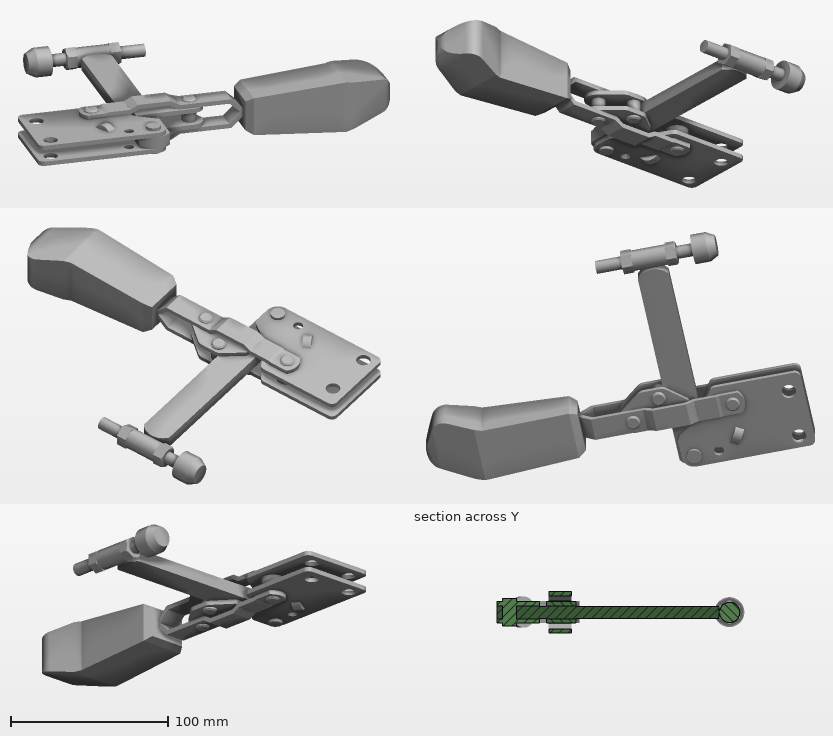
import cadquery as cq
import math


arm_thickness = 8.0
sheet = 3.0
inner_face = arm_thickness / 2
outer_face = inner_face + sheet
lever_face = outer_face + sheet

lever_pivot = (0, 0)
arm_pivot = (32.2, 31.7)
link_lever_rivet = (0, 64.7)
link_arm_rivet = (-12.0, 45.7)
rivet_radius = 4.6
rivet_chamfer = 1.0
lever_head_height = 1.5
plate_head_height = 2.0
lever_spacer_radius = 7.3

base_left = -12.5
base_bottom = -46.0
base_corner = 4.0
base_top_corner = 8.0
base_right = arm_pivot[0] + base_top_corner
base_top = arm_pivot[1] + base_top_corner
shoulder_y = 11.7
relief_bottom = (8.3, 24.7)
relief_top_x = 18.8
relief_radius = 5.0
mount_hole_y = -36.5
mount_hole_radius = 4.6
small_hole_y = 15.6
small_hole_radius = 3.2

lug_center = (24.2, 2.2)
lug_length = 11.7
lug_width = 5.5
lug_height = 3.0
lug_angle = 30

link_end_radius = 9.0
link_left = -18.3
link_side_top = 56.5
link_side_bottom = 41.3
link_bottom_left = -6.5
link_bottom = 26.9
link_corner = 6.3
link_bottom_corner = 2.5

spindle_x = -107.7
rod_radius = 4.2
rod_top = 66.5
sleeve_radius = 6.5
sleeve_length = 22.0
nut_thickness = 6.8
nut_chamfer = 1.0
tip_radius = 9.5
tip_end_radius = 6.5
tip_top = 3.5
tip_shoulder = -6.3
tip_bottom = -11.7

arm_half_width = 10.0
arm_left = spindle_x + sleeve_radius
arm_right = base_right
arm_end_bulge = 5.1

grip_bottom = 98.2
grip_top = base_bottom + 244.2
grip_chamfer_y = 103.0
grip_bottom_span = (-12.7, 13.5)
grip_chamfer_span = (-15.6, 16.4)
grip_wide_y = 164.0
grip_half_depth = 17.0
grip_chamfer_half_depth = 12.7
grip_bottom_half_depth = 10.0
grip_nose_half_depth = 9.8
grip_nose_radius = 10.3
grip_nose_edge_radius = 9.8
grip_heel = (-27.5, 187.5)
grip_heel_radius = 8.3
grip_peak = (1.7, 202.0)
grip_back_bend = (17.8, 166.8)
grip_back_radius = 26.0
grip_front_bend = (-16.8, 159.2)
parting_bends = [(-13.5, 153.0), (-5.0, 175.3), (0.2, 175.3), (8.3, 160.2), (-3.0, 120.1), (4.2, 107.5)]
parting_radius = 3.7
region_reach = 48.8

strap_width = 14.7
jog_start = 7.5
jog_end = 9.5
bulge_rise_start = 23.7
bulge_rise_end = 28.8
bulge_fall_start = 50.8
bulge_fall_end = 56.7
strap_spread_y = 90.5
tang_length = 7.3
bulge_height = 3.5
jog_height = 0.6
strap_side_end = -4.6
strap_tip = -7.8


def mirrored_pair(solid):
    """Join a feature above the middle plane with its mirror image below."""
    return solid.union(solid.mirror("XY"))


def slab(outline, bottom, top):
    """Extrude a closed XY outline between two heights."""
    return outline.extrude(top - bottom).translate((0, 0, bottom))


def round_edge(solid, point, radius):
    """Round the Z-parallel edge nearest a corner point."""
    middle = (*point, solid.val().Center().z)
    return solid.edges(cq.selectors.NearestToPointSelector(middle)).fillet(radius)


def cylinder(point, radius, half_length):
    """Cylinder along Z, centred on the middle plane."""
    start = cq.Workplane("XY", origin=(*point, -half_length))
    return start.circle(radius).extrude(2 * half_length)


def rivet(point, face, head_height):
    """Pin whose chamfered heads stand proud of the faces at +face and -face."""
    pin = cylinder(point, rivet_radius, face + head_height)
    return pin.faces("|Z").chamfer(rivet_chamfer)


def make_lug():
    lug_radius = ((lug_length / 2) ** 2 + lug_height**2) / (2 * lug_height)
    barrel = (
        cq.Workplane("XZ")
        .center(0, outer_face + lug_height - lug_radius)
        .circle(lug_radius)
        .extrude(lug_width / 2, both=True)
    )
    above_plate = cq.Workplane("XY", origin=(0, 0, outer_face)).rect(2 * lug_length, lug_width)
    lug = barrel.intersect(above_plate.extrude(lug_height))
    return lug.rotate((0, 0, 0), (0, 0, 1), lug_angle).translate((*lug_center, 0))


def make_base_plate():
    shoulder = (base_left, shoulder_y)
    relief_top = (relief_top_x, base_top)
    top_corner = (base_right, base_top)
    right_foot = (base_right, base_bottom)
    left_foot = (base_left, base_bottom)
    outline = cq.Workplane("XY").polyline(
        [left_foot, right_foot, top_corner, relief_top, relief_bottom, shoulder]
    ).close()
    plate = slab(outline, inner_face, outer_face)
    for corner in (left_foot, right_foot, shoulder):
        plate = round_edge(plate, corner, base_corner)
    plate = round_edge(plate, top_corner, base_top_corner)
    plate = round_edge(plate, relief_top, relief_radius)
    for hole_x in (lever_pivot[0], arm_pivot[0]):
        plate = plate.cut(cylinder((hole_x, mount_hole_y), mount_hole_radius, lever_face))
    return plate.cut(cylinder((arm_pivot[0], small_hole_y), small_hole_radius, lever_face))


def make_base():
    plates = mirrored_pair(make_base_plate().union(make_lug()))
    arm_pin = cylinder(arm_pivot, rivet_radius, outer_face + plate_head_height)
    lever_pin = rivet(lever_pivot, lever_face, lever_head_height)
    lever_spacer = cylinder(lever_pivot, lever_spacer_radius, inner_face)
    return plates.union(arm_pin).union(lever_spacer).union(lever_pin)


def make_link():
    end_x, end_y = link_lever_rivet
    corner = (link_left, link_side_top)
    corner_distance = math.dist(corner, link_lever_rivet)
    center_angle = math.atan2(corner[1] - end_y, corner[0] - end_x)
    tangent_angle = center_angle - math.acos(link_end_radius / corner_distance)
    tangent = (
        end_x + link_end_radius * math.cos(tangent_angle),
        end_y + link_end_radius * math.sin(tangent_angle),
    )
    lower_corner = (link_left, link_side_bottom)
    bottom_corner = (link_bottom_left, link_bottom)
    outline = (
        cq.Workplane("XY")
        .moveTo(*tangent)
        .threePointArc((end_x, end_y + link_end_radius), (end_x + link_end_radius, end_y))
        .lineTo(end_x + link_end_radius, link_bottom)
        .lineTo(*bottom_corner)
        .lineTo(*lower_corner)
        .lineTo(*corner)
        .close()
    )
    plate = slab(outline, inner_face, outer_face)
    plate = round_edge(plate, corner, link_corner)
    plate = round_edge(plate, lower_corner, link_corner)
    plate = round_edge(plate, bottom_corner, link_bottom_corner)
    lever_rivet = rivet(link_lever_rivet, lever_face, lever_head_height)
    arm_rivet = rivet(link_arm_rivet, outer_face, plate_head_height)
    return mirrored_pair(plate).union(lever_rivet).union(arm_rivet)


def make_arm():
    middle_y = arm_pivot[1]
    low = middle_y - arm_half_width
    high = middle_y + arm_half_width
    outline = (
        cq.Workplane("XY")
        .moveTo(arm_left + arm_end_bulge, low)
        .lineTo(arm_right - arm_end_bulge, low)
        .threePointArc((arm_right, middle_y), (arm_right - arm_end_bulge, high))
        .lineTo(arm_left + arm_end_bulge, high)
        .threePointArc((arm_left, middle_y), (arm_left + arm_end_bulge, low))
        .close()
    )
    arm = slab(outline, -inner_face, inner_face)
    arm = arm.cut(cylinder(arm_pivot, rivet_radius, inner_face))
    return arm.cut(cylinder(link_arm_rivet, rivet_radius, inner_face))


def make_nut(top, chamfer_bottom):
    """Hexagonal nut below the height `top` on Y, with corners toward +Z and -Z."""
    corner_radius = sleeve_radius / math.cos(math.radians(30))
    plane = cq.Workplane("XZ", origin=(spindle_x, top, 0))
    hexagon = plane.transformed(rotate=(0, 0, 90)).polygon(6, 2 * corner_radius).extrude(nut_thickness)
    if not chamfer_bottom:
        return hexagon
    envelope = plane.circle(corner_radius).extrude(nut_thickness)
    envelope = envelope.faces("<Y").chamfer(nut_chamfer, corner_radius - sleeve_radius)
    return hexagon.intersect(envelope)


def make_spindle():
    sleeve_top = arm_pivot[1] + sleeve_length / 2
    sleeve_bottom = sleeve_top - sleeve_length
    profile = cq.Workplane("YZ", origin=(spindle_x, 0, 0)).polyline([
        (rod_top, 0),
        (rod_top, rod_radius),
        (sleeve_top, rod_radius),
        (sleeve_top, sleeve_radius),
        (sleeve_bottom, sleeve_radius),
        (sleeve_bottom, rod_radius),
        (tip_top, rod_radius),
        (tip_top, tip_radius),
        (tip_shoulder, tip_radius),
        (tip_bottom, tip_end_radius),
        (tip_bottom, 0),
    ]).close()
    spindle = profile.revolve(360, (0, 0), (1, 0))
    upper_nut = make_nut(sleeve_top + nut_thickness, chamfer_bottom=False)
    lower_nut = make_nut(sleeve_bottom, chamfer_bottom=True)
    return spindle.union(upper_nut).union(lower_nut)


def offset_path(points, distance):
    """Shift an open path to the right of its direction, with mitred bends."""
    angles = [math.atan2(b[1] - a[1], b[0] - a[0]) for a, b in zip(points, points[1:])]
    shifted = []
    for point, before, after in zip(points, angles[:1] + angles, angles + angles[-1:]):
        miter = (before + after) / 2
        reach = distance / math.cos((after - before) / 2)
        shifted.append((point[0] + reach * math.sin(miter), point[1] - reach * math.cos(miter)))
    return shifted


def make_strap():
    outside = [
        (strap_tip, lever_face),
        (jog_start, lever_face),
        (jog_end, lever_face + jog_height),
        (bulge_rise_start, lever_face + jog_height),
        (bulge_rise_end, lever_face + bulge_height),
        (bulge_fall_start, lever_face + bulge_height),
        (bulge_fall_end, lever_face),
        (strap_spread_y, lever_face),
        (grip_bottom, sheet),
        (grip_bottom + tang_length, sheet),
    ]
    inside = offset_path(outside, sheet)
    leg = cq.Workplane("YZ").polyline(outside + inside[::-1]).close()
    legs = mirrored_pair(leg.extrude(strap_width / 2, both=True))
    half_width = strap_width / 2
    rounded_outline = (
        cq.Workplane("XY")
        .moveTo(-half_width, strap_side_end)
        .threePointArc((0, strap_tip), (half_width, strap_side_end))
        .lineTo(half_width, grip_top)
        .lineTo(-half_width, grip_top)
        .close()
    )
    strap = legs.intersect(rounded_outline.extrude(grip_half_depth, both=True))
    for pivot in (lever_pivot, link_lever_rivet):
        strap = strap.cut(cylinder(pivot, rivet_radius, grip_half_depth))
    return strap


def make_grip():
    outline = cq.Workplane("XY").polyline([
        (grip_bottom_span[0], grip_bottom),
        (grip_bottom_span[1], grip_bottom),
        (grip_chamfer_span[1], grip_chamfer_y),
        grip_back_bend,
        grip_peak,
        grip_heel,
        grip_front_bend,
        (grip_chamfer_span[0], grip_chamfer_y),
    ]).close()
    body = slab(outline, -grip_half_depth, grip_half_depth)
    body = round_edge(body, grip_back_bend, grip_back_radius)
    body = round_edge(body, grip_peak, grip_nose_radius)
    body = round_edge(body, grip_heel, grip_heel_radius)

    half_depths = [
        (grip_bottom, grip_bottom_half_depth),
        (grip_chamfer_y, grip_chamfer_half_depth),
        (grip_wide_y, grip_half_depth),
        (grip_top, grip_nose_half_depth),
    ]
    lower_side = [(y, -z) for y, z in reversed(half_depths)]
    side_outline = cq.Workplane("YZ").polyline(half_depths + lower_side).close()
    side_form = side_outline.extrude(2 * grip_top, both=True)
    side_form = side_form.faces(">Y").edges("|X").fillet(grip_nose_edge_radius)
    tang_socket = cq.Workplane("XY").box(strap_width, 2 * tang_length, 2 * sheet)
    return body.intersect(side_form).cut(tang_socket.translate((0, grip_bottom, 0)))


def make_back_side():
    """Region behind the S-shaped parting surface, through the grip's whole depth."""
    path = [(-region_reach, parting_bends[0][1])] + parting_bends + [(region_reach, parting_bends[-1][1])]
    far_corners = [(region_reach, grip_top + region_reach), (-region_reach, grip_top + region_reach)]
    outline = cq.Workplane("XY").polyline(path + far_corners).close()
    region = slab(outline, -grip_half_depth, grip_half_depth)
    for bend in parting_bends:
        region = round_edge(region, bend, parting_radius)
    return region


base = make_base()
link = make_link()
arm = make_arm()
spindle = make_spindle()
strap = make_strap()
grip = make_grip()
back_side = make_back_side()
grip_back = grip.intersect(back_side)
grip_front = grip.cut(back_side)

result = cq.Compound.makeCompound([
    base.val(),
    link.val(),
    arm.val(),
    spindle.val(),
    strap.val(),
    grip_back.val(),
    grip_front.val(),
])